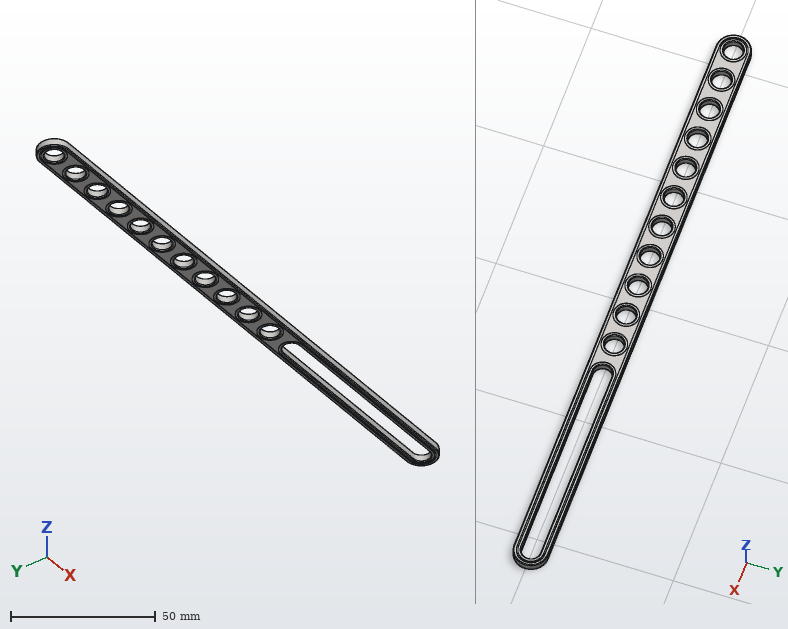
import cadquery as cq

length = 225.0
pitch_count = 18
round_hole_count = 11
thickness = 3.2
bore_diameter = 7.0
collar_diameter = 9.2
border_width = 1.1
recess_depth = 0.2
edge_chamfer = 0.32

pitch = length / pitch_count
width = pitch
first_hole_x = -length / 2 + width / 2
last_hole_x = -first_hole_x
slot_start_x = first_hole_x + round_hole_count * pitch
hole_xs = [first_hole_x + index * pitch for index in range(round_hole_count)]


def rounded_bar(start_x, end_x, bar_width):
    """Full-thickness bar with round ends centred on start_x and end_x."""
    return (
        cq.Workplane("XY")
        .center((start_x + end_x) / 2, 0)
        .slot2D(end_x - start_x + bar_width, bar_width)
        .extrude(thickness / 2, both=True)
    )


def round_posts(diameter):
    """Full-thickness cylinders at every round hole position."""
    return (
        cq.Workplane("XY")
        .pushPoints([(x, 0) for x in hole_xs])
        .circle(diameter / 2)
        .extrude(thickness / 2, both=True)
    )


def openings(diameter):
    """Every round hole and the long slot, at the given width."""
    return round_posts(diameter).union(rounded_bar(slot_start_x, last_hole_x, diameter))


def recesses():
    """Pockets inside the border and around the collars, on both faces."""
    pocket = rounded_bar(first_hole_x, last_hole_x, width - 2 * border_width)
    core = cq.Workplane("XY").box(length, width, thickness - 2 * recess_depth)
    return pocket.cut(openings(collar_diameter)).cut(core)


def chamfered_bar():
    """Outline bar with all openings cut and every rim chamfered on both faces."""
    bar = rounded_bar(first_hole_x, last_hole_x, width).cut(openings(bore_diameter))
    return bar.faces("|Z").edges().chamfer(edge_chamfer)


result = chamfered_bar().cut(recesses())